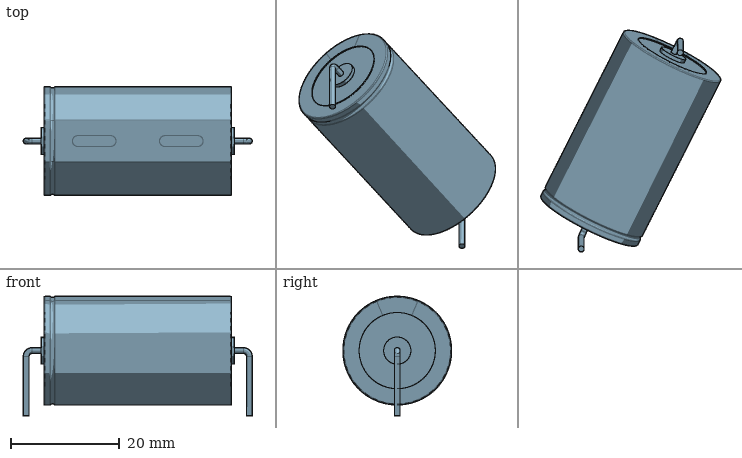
import cadquery as cq
import math


can_radius = 10.0
can_length = 34.5
rim_fillet = 0.2
end_recess_radius = 7.0
end_recess_depth = 0.2

groove_offset = 1.6
groove_width = 0.85
groove_depth = 0.2
groove_lip_fillet = 0.15

stripe_angle = 45.0
mark_length = 8.0
mark_width = 2.0
mark_spacing = 16.0
mark_thickness = 0.5

seal_diameter = 5.0
seal_span = 35.5
lead_diameter = 1.1
lead_pitch = 41.0
lead_bend_radius = 1.1
lead_drop = 12.0

half_can = can_length / 2
core_half_length = half_can - end_recess_depth
TOLERANCE = 1e-4
X_AXIS_START = (0, 0, 0)
X_AXIS_END = (1, 0, 0)


def round_circles_at(ring, x_positions, fillet_radius):
    """Fillet the outer circular edges of a ring sector that lie at the given X positions."""
    edges = [
        edge
        for edge in ring.edges("%CIRCLE").vals()
        for x in x_positions
        if abs(edge.Center().x - x) < TOLERANCE and abs(edge.radius() - can_radius) < TOLERANCE
    ]
    return ring.newObject(edges).fillet(fillet_radius)


def shell_sector(start_angle, sweep_angle):
    """Outer ring of the can, from start_angle (0 is +Y, 90 is +Z) over sweep_angle."""
    groove_x = groove_offset - half_can
    groove_start_x = groove_x - groove_width / 2
    groove_end_x = groove_x + groove_width / 2
    profile = (
        cq.Workplane("XY")
        .moveTo(-half_can, end_recess_radius)
        .lineTo(-half_can, can_radius)
        .lineTo(groove_start_x, can_radius)
        .threePointArc((groove_x, can_radius - groove_depth), (groove_end_x, can_radius))
        .lineTo(half_can, can_radius)
        .lineTo(half_can, end_recess_radius)
        .close()
    )
    ring = profile.revolve(sweep_angle, X_AXIS_START, X_AXIS_END)
    ring = round_circles_at(ring, [-half_can, half_can], rim_fillet)
    ring = round_circles_at(ring, [groove_start_x, groove_end_x], groove_lip_fillet)
    return ring.rotate(X_AXIS_START, X_AXIS_END, start_angle)


def stripe_with_marks():
    """Stripe sector and its minus marks, which are flush inlays bounded by their own edges."""
    stripe = shell_sector(90 - stripe_angle / 2, stripe_angle)
    mark_tool = (
        cq.Workplane("XY", origin=(0, 0, can_radius - mark_thickness))
        .pushPoints([(-mark_spacing / 2, 0), (mark_spacing / 2, 0)])
        .slot2D(mark_length, mark_width)
        .extrude(2 * mark_thickness)
    )
    marks = stripe.intersect(mark_tool)
    return stripe.cut(mark_tool).union(marks, clean=False)


def x_cylinder(radius, half_length):
    return cq.Workplane("YZ").circle(radius).extrude(half_length, both=True)


def lead():
    """Lead at the +X end: straight out of the seal, then a quarter bend down to the tip."""
    lead_x = lead_pitch / 2
    bend_start_x = lead_x - lead_bend_radius
    bend_inset = lead_bend_radius * (1 - math.sqrt(0.5))
    path = (
        cq.Workplane("XZ")
        .moveTo(core_half_length, 0)
        .lineTo(bend_start_x, 0)
        .threePointArc((lead_x - bend_inset, -bend_inset), (lead_x, -lead_bend_radius))
        .lineTo(lead_x, -lead_drop)
    )
    section = cq.Workplane("YZ", origin=(core_half_length, 0, 0)).circle(lead_diameter / 2)
    return section.sweep(path)


result = shell_sector(90 + stripe_angle / 2, 360 - stripe_angle)
result = result.union(stripe_with_marks(), clean=False)
result = result.union(x_cylinder(end_recess_radius, core_half_length), clean=False)
result = result.union(x_cylinder(seal_diameter / 2, seal_span / 2), clean=False)
result = result.union(lead(), clean=False)
result = result.union(lead().mirror("YZ"), clean=False)